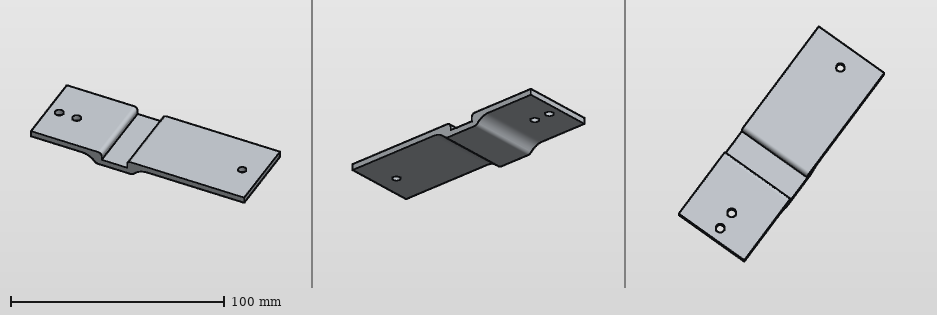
import cadquery as cq
import math

length = 111.42
width = 38.0
thickness = 3.2

channel_start = 37.0
channel_width = 13.2
channel_depth = 4.0
channel_edge_radius = 2.0

belly_depth = channel_depth + thickness
flank_angle = math.radians(47)
belly_half_width = 9.5
belly_edge_radius = 3.0
flank_root_radius = 9.0

hole_y = 18.2
left_hole_diameter = 4.2
left_hole_positions = [5.85, 14.95]
right_hole_diameter = 4.0
right_hole_position = length - 10.0

channel_end = channel_start + channel_width
channel_center = channel_start + channel_width / 2
flank_run = (belly_depth - thickness) / math.tan(flank_angle)
flank_root_half_width = belly_half_width + flank_run


def make_strip():
    """Side profile with sharp corners, extruded across the width."""
    outline = [
        (0, 0),
        (channel_start, 0),
        (channel_start, -channel_depth),
        (channel_end, -channel_depth),
        (channel_end, 0),
        (length, 0),
        (length, -thickness),
        (channel_center + flank_root_half_width, -thickness),
        (channel_center + belly_half_width, -belly_depth),
        (channel_center - belly_half_width, -belly_depth),
        (channel_center - flank_root_half_width, -thickness),
        (0, -thickness),
    ]
    return cq.Workplane("XZ").polyline(outline).close().extrude(-width)


def round_cross_edges(body, half_spacing, z, radius):
    """Round the two edges along Y that lie symmetrically about the channel at height z."""
    for side in (-1, 1):
        edge_middle = (channel_center + side * half_spacing, width / 2, z)
        body = body.edges(cq.NearestToPointSelector(edge_middle)).fillet(radius)
    return body


def drill(body, positions, diameter):
    """Cut through holes at the given X positions on the common hole line."""
    centers = [(x, hole_y) for x in positions]
    cutter = cq.Workplane("XY").pushPoints(centers).circle(diameter / 2).extrude(-thickness)
    return body.cut(cutter)


result = make_strip()
result = round_cross_edges(result, channel_width / 2, 0, channel_edge_radius)
result = round_cross_edges(result, belly_half_width, -belly_depth, belly_edge_radius)
result = round_cross_edges(result, flank_root_half_width, -thickness, flank_root_radius)
result = drill(result, left_hole_positions, left_hole_diameter)
result = drill(result, [right_hole_position], right_hole_diameter)